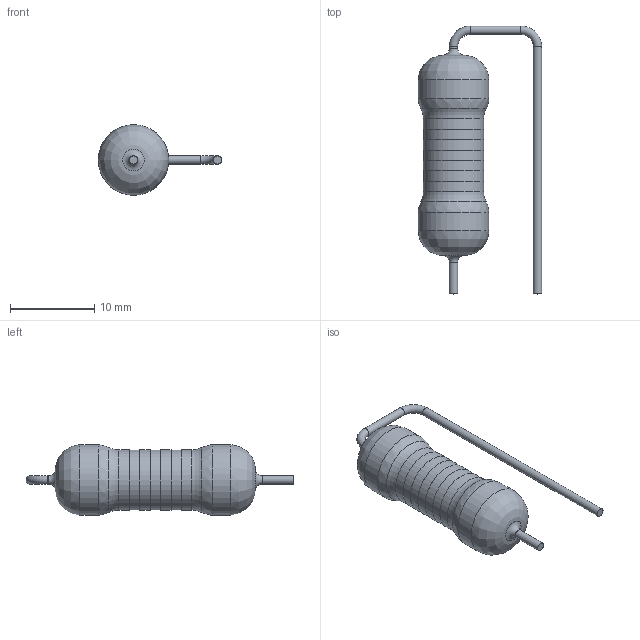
import cadquery as cq
import math


lead_diameter = 1.0
lead_pitch = 10.0
total_length = 31.9
bend_radius = 2.0

body_diameter = 8.4
body_length = 23.8
body_centre_y = 16.5
lead_fillet_radius = 0.8
cap_inner_offset = 6.75

waist_diameter = 7.14
band_diameter = 7.16
band_count = 7
band_width = 1.24

lead_radius = lead_diameter / 2
body_radius = body_diameter / 2
end_round_radius = body_radius - lead_radius - lead_fillet_radius
band_radius = band_diameter / 2
body_half = body_length / 2
banded_half = band_count * band_width / 2
crossbar_y = total_length - lead_radius
bend_start_y = crossbar_y - bend_radius


def arc_mid(centre, start, end, radius):
    """Point halfway along the minor arc from start to end."""
    dx = (start[0] + end[0]) / 2 - centre[0]
    dy = (start[1] + end[1]) / 2 - centre[1]
    chord_distance = math.hypot(dx, dy)
    return (centre[0] + dx * radius / chord_distance, centre[1] + dy * radius / chord_distance)


def make_end():
    """Revolved cap at the +Y end, from the banded waist out to the lead fillet."""
    shoulder_run = (cap_inner_offset - banded_half) / 2
    shoulder_rise = (body_radius - band_radius) / 2
    shoulder_radius = (shoulder_run**2 + shoulder_rise**2) / (2 * shoulder_rise)
    waist_end = (band_radius, banded_half)
    shoulder_middle = (band_radius + shoulder_rise, banded_half + shoulder_run)
    cap_inner = (body_radius, cap_inner_offset)
    concave_centre = (band_radius + shoulder_radius, banded_half)
    convex_centre = (body_radius - shoulder_radius, cap_inner_offset)

    cap_outer = (body_radius, body_half - end_round_radius)
    end_centre = (body_radius - end_round_radius, body_half - end_round_radius)
    end_crest = (lead_radius + lead_fillet_radius, body_half)
    fillet_centre = (lead_radius + lead_fillet_radius, body_half + lead_fillet_radius)
    fillet_tip = (lead_radius, body_half + lead_fillet_radius)

    profile = (
        cq.Workplane("XY")
        .moveTo(0, banded_half)
        .lineTo(*waist_end)
        .threePointArc(arc_mid(concave_centre, waist_end, shoulder_middle, shoulder_radius), shoulder_middle)
        .threePointArc(arc_mid(convex_centre, shoulder_middle, cap_inner, shoulder_radius), cap_inner)
        .lineTo(*cap_outer)
        .threePointArc(arc_mid(end_centre, cap_outer, end_crest, end_round_radius), end_crest)
        .threePointArc(arc_mid(fillet_centre, end_crest, fillet_tip, lead_fillet_radius), fillet_tip)
        .lineTo(0, fillet_tip[1])
        .close()
    )
    return profile.revolve(360, (0, 0), (0, 1))


def make_band(index):
    """One cylindrical stretch of the waist, counted from the -Y side."""
    diameter = band_diameter if index % 2 == 0 else waist_diameter
    start_y = -banded_half + index * band_width
    return cq.Workplane("XZ", origin=(0, start_y, 0)).circle(diameter / 2).extrude(-band_width)


def make_body():
    """Two mirrored caps joined by the banded waist, centred on Y = 0."""
    end = make_end()
    body = end.union(end.mirror("XZ"))
    for index in range(band_count):
        body = body.union(make_band(index), clean=False)
    return body


def make_short_lead():
    """Straight stub from its tip into the body."""
    return cq.Workplane("XZ").circle(lead_radius).extrude(-body_centre_y)


def make_long_lead():
    """Wire leaving the +Y end, bent twice to run back alongside the body."""
    bend_reach = bend_radius * math.sin(math.radians(45))
    first_bend_mid = (bend_radius - bend_reach, bend_start_y + bend_reach)
    second_bend_mid = (lead_pitch - bend_radius + bend_reach, bend_start_y + bend_reach)
    path = (
        cq.Workplane("XY")
        .moveTo(0, body_centre_y)
        .lineTo(0, bend_start_y)
        .threePointArc(first_bend_mid, (bend_radius, crossbar_y))
        .lineTo(lead_pitch - bend_radius, crossbar_y)
        .threePointArc(second_bend_mid, (lead_pitch, bend_start_y))
        .lineTo(lead_pitch, 0)
    )
    return cq.Workplane("XZ", origin=(0, body_centre_y, 0)).circle(lead_radius).sweep(path)


body = make_body().translate((0, body_centre_y, 0))
result = body.union(make_short_lead(), clean=False).union(make_long_lead(), clean=False)